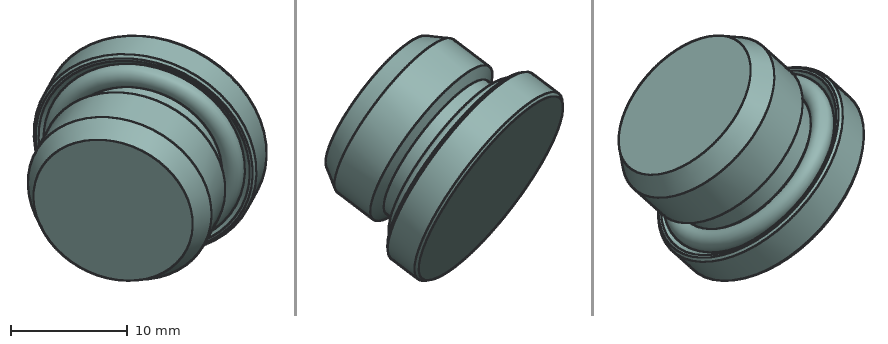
import cadquery as cq
import math


head_thickness = 3.5
neck_end = 6.0
plug_length = 12.5

head_radius = 10.0
body_diameter = 16.5
body_radius = body_diameter / 2
neck_radius = 7.18
tip_diameter = 14.3
tip_radius = tip_diameter / 2

head_chamfer = 0.25
shoulder_angle = 60.0
tip_angle = 30.0

ring_tube_radius = 1.0
ring_inner_radius = 7.0
ring_center_radius = ring_inner_radius + ring_tube_radius

recess_mouth_radius = 9.48
recess_depth = ring_tube_radius
recess_floor_radius = recess_mouth_radius - recess_depth


def cone_length(large_radius, small_radius, angle):
    """Axial length of a cone whose side makes this angle with the axis."""
    return (large_radius - small_radius) / math.tan(math.radians(angle))


def make_plug():
    """Head, recess, neck and tapered body, turned as one profile of (Y, radius) points."""
    shoulder_end = neck_end + cone_length(body_radius, neck_radius, shoulder_angle)
    tip_start = plug_length - cone_length(body_radius, tip_radius, tip_angle)
    recess_floor = head_thickness - recess_depth
    profile = [
        (0, 0),
        (0, head_radius - head_chamfer),
        (-head_chamfer, head_radius),
        (-(head_thickness - head_chamfer), head_radius),
        (-head_thickness, head_radius - head_chamfer),
        (-head_thickness, recess_mouth_radius),
        (-recess_floor, recess_floor_radius),
        (-recess_floor, neck_radius),
        (-neck_end, neck_radius),
        (-shoulder_end, body_radius),
        (-tip_start, body_radius),
        (-plug_length, tip_radius),
        (-plug_length, 0),
    ]
    return cq.Workplane("YZ").polyline(profile).close().revolve(360, (0, 0), (1, 0))


def make_o_ring():
    """Round tube turned around the Y axis, resting on the recess floor."""
    return (
        cq.Workplane("YZ")
        .center(-head_thickness, ring_center_radius)
        .circle(ring_tube_radius)
        .revolve(360, (0, -ring_center_radius), (1, -ring_center_radius))
    )


o_ring = make_o_ring()
plug = make_plug().cut(o_ring).solids()

result = cq.Compound.makeCompound([plug.val(), o_ring.val()])